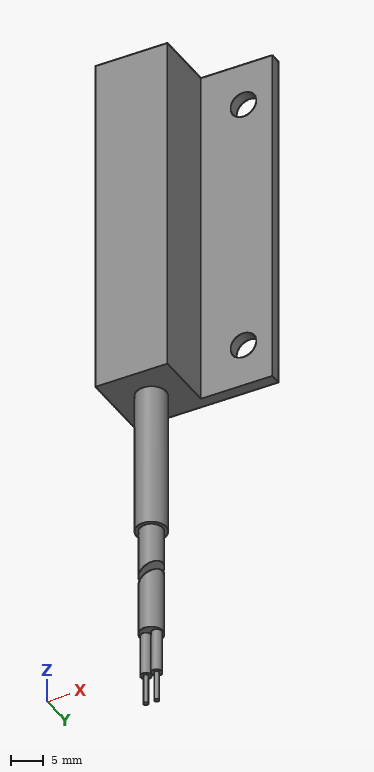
import cadquery as cq
import math

bar_side = 12.5
flange_reach = 12.4
flange_thickness = 2.0
housing_height = 60.0
hole_diameter = 4.5
hole_end_distance = 7.5
hole_edge_distance = 5.0

total_height = 117.2
sleeve_diameter = 5.2
sleeve_length = 25.3
cable_diameter = 4.0
cable_length = 44.5
insulation_diameter = 1.8
insulation_length = 7.5
conductor_diameter = 0.8
wire_spacing = 1.9

break_angle = 28
break_depth = 32.9
break_gap = 1.5

cable_x = bar_side / 2
cable_y = bar_side / 2
cable_bottom = -cable_length
insulation_bottom = cable_bottom - insulation_length
conductor_bottom = housing_height - total_height


def rod(diameter, top, bottom, x=cable_x):
    """Vertical round rod on the front-to-back center of the bar."""
    return (
        cq.Workplane("XY", origin=(x, cable_y, bottom))
        .circle(diameter / 2)
        .extrude(top - bottom)
    )


def cable_piece(upper_left, upper_right, lower_left, lower_right):
    """Length of cable whose end heights are given at its -X and +X sides."""
    left = cable_x - cable_diameter / 2
    right = cable_x + cable_diameter / 2
    slab = (
        cq.Workplane("XZ", origin=(0, bar_side, 0))
        .moveTo(left, lower_left)
        .lineTo(right, lower_right)
        .lineTo(right, upper_right)
        .lineTo(left, upper_left)
        .close()
        .extrude(bar_side)
    )
    return rod(cable_diameter, 0, cable_bottom).intersect(slab)


def make_housing():
    """Bar and flange with two through holes."""
    width = bar_side + flange_reach
    bar = cq.Workplane("XY").box(bar_side, bar_side, housing_height, centered=False)
    flange = (
        cq.Workplane("XY", origin=(0, bar_side - flange_thickness, 0))
        .box(width, flange_thickness, housing_height, centered=False)
    )
    hole_x = width - hole_edge_distance
    hole_heights = (hole_end_distance, housing_height - hole_end_distance)
    holes = (
        cq.Workplane("XZ", origin=(0, bar_side, 0))
        .pushPoints([(hole_x, z) for z in hole_heights])
        .circle(hole_diameter / 2)
        .extrude(flange_thickness)
    )
    return bar.union(flange).cut(holes)


break_half_rise = cable_diameter / 2 * math.tan(math.radians(break_angle))
break_left = -break_depth - break_half_rise
break_right = -break_depth + break_half_rise


def make_sensor():
    """Housing with its sleeve and the cable down to the break."""
    sleeve = rod(sleeve_diameter, 0, -sleeve_length)
    upper_cable = cable_piece(0, 0, break_left, break_right)
    return make_housing().union(sleeve).union(upper_cable)


def make_cable_end():
    """Cable below the break with two insulated wires and bare conductors."""
    cable_end = cable_piece(
        break_left - break_gap, break_right - break_gap, cable_bottom, cable_bottom
    )
    for side in (-1, 1):
        wire_x = cable_x + side * wire_spacing / 2
        cable_end = cable_end.union(rod(insulation_diameter, cable_bottom, insulation_bottom, wire_x))
        cable_end = cable_end.union(rod(conductor_diameter, insulation_bottom, conductor_bottom, wire_x))
    return cable_end


sensor = make_sensor()
cable_end = make_cable_end()

result = cq.Compound.makeCompound([sensor.val(), cable_end.val()])